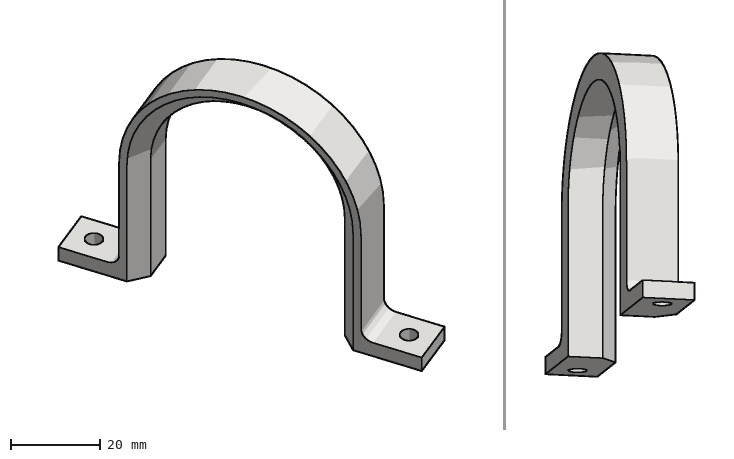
import cadquery as cq

length = 90.0
depth = 12.0
height = 64.0

outer_radius = 30.0
front_wall = 2.0
bevel = 4.0
front_inner_radius = outer_radius - front_wall
inner_radius = front_inner_radius - bevel
arch_center_z = height - outer_radius

foot_thickness = 4.0
foot_fillet = 3.0
hole_diameter = 4.1
hole_x = length / 2 - depth / 2


def arch_profile(radius, y):
    """Closed U-shaped outline standing on Z = 0, in the XZ plane at the given Y."""
    return (
        cq.Workplane("XZ", origin=(0, y, 0))
        .moveTo(-radius, 0)
        .lineTo(-radius, arch_center_z)
        .threePointArc((0, arch_center_z + radius), (radius, arch_center_z))
        .lineTo(radius, 0)
        .close()
    )


front_y = -depth / 2
base = cq.Workplane("XY").box(length, depth, foot_thickness, centered=(True, True, False))
body = arch_profile(outer_radius, front_y).extrude(-depth).union(base)
foot_corners = [
    cq.NearestToPointSelector((side * outer_radius, 0, foot_thickness)) for side in (-1, 1)
]
body = body.edges("|Y").edges(foot_corners[0] + foot_corners[1]).fillet(foot_fillet)

opening = arch_profile(inner_radius, front_y).extrude(-depth)
bevel_cut = cq.Workplane(
    cq.Solid.makeLoft(
        [
            arch_profile(front_inner_radius, front_y).val(),
            arch_profile(inner_radius, front_y + bevel).val(),
        ],
        True,
    )
)
body = body.cut(opening).cut(bevel_cut)

holes = (
    cq.Workplane("XY")
    .pushPoints([(-hole_x, 0), (hole_x, 0)])
    .circle(hole_diameter / 2)
    .extrude(foot_thickness)
)
result = body.cut(holes)